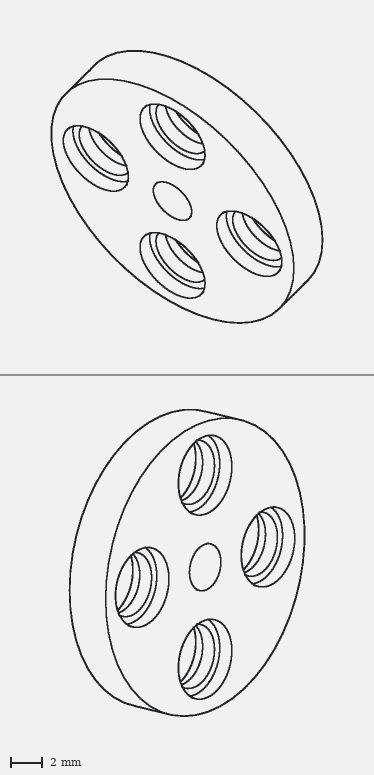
import cadquery as cq

disc_diameter = 19.0
disc_thickness = 3.0
center_hole_diameter = 3.0

hole_count = 4
hole_circle_radius = 6.0
hole_diameter = 4.1
counterbore_diameter = 5.1
counterbore_depth = 1.0


def cylinder_along_y(diameter, start, length):
    """Cylinder on the Y axis, running from y = start toward +Y."""
    return cq.Workplane("XZ", origin=(0, start, 0)).circle(diameter / 2).extrude(-length)


def stepped_hole():
    """Through hole with a wider counterbore at each end."""
    through = cylinder_along_y(hole_diameter, 0, disc_thickness)
    front_bore = cylinder_along_y(counterbore_diameter, 0, counterbore_depth)
    back_start = disc_thickness - counterbore_depth
    back_bore = cylinder_along_y(counterbore_diameter, back_start, counterbore_depth)
    return through.union(front_bore).union(back_bore)


disc = cylinder_along_y(disc_diameter, 0, disc_thickness)
result = disc.cut(cylinder_along_y(center_hole_diameter, 0, disc_thickness))

for index in range(hole_count):
    angle = index * 360 / hole_count
    hole = stepped_hole().translate((hole_circle_radius, 0, 0))
    result = result.cut(hole.rotate((0, 0, 0), (0, 1, 0), angle))